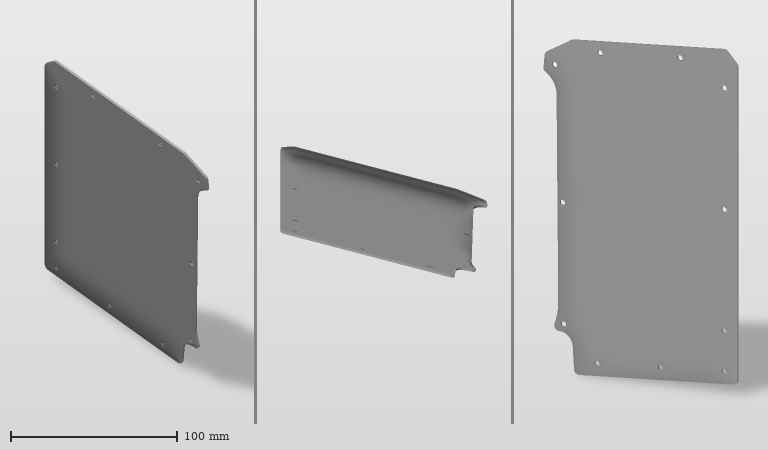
import cadquery as cq
import math

thickness = 1.59
width = 128.11

edge_slope = math.tan(math.radians(3.5))
side_slope = math.tan(math.radians(0.5))

top_edge_z = 216.35
bottom_edge_z = 6.45

corner_radius = 3.175
tab_notch_radius = 9.0
ear_notch_radius = 16.0
flare_radius = 38.0

foot_x = 107.65
tab_bottom_z = 26.05

tab_tip_x = 122.2
flare_x = 118.2
flare_z = 37.9

ear_notch_z = 181.8
ear_bottom_z = 188.85
ear_top_x = 127.15
ear_top_z = 199.7
shoulder_x = 109.4

cut_x = 8.0
cut_z = 206.6

hole_diameter = 3.45
side_hole_pitch = 76.2
left_hole_x = 8.89
bottom_hole_z = 13.65
bottom_hole_pitch = 41.9
bottom_hole_count = 3
left_hole_rise = 25.4
left_hole_z = bottom_hole_z + left_hole_rise
left_hole_count = 3
right_hole_x = 114.9
right_hole_z = 30.6
right_hole_count = 2
top_holes = [(38.1, 207.0), (90.8, 203.65), (120.7, 192.65)]


def top_edge(x):
    return top_edge_z - edge_slope * x


def bottom_edge(x):
    return bottom_edge_z - edge_slope * x


def side_edge(z):
    return flare_x + side_slope * (z - flare_z)


def outline_corners():
    """Corners as (x, z, rounding radius), anticlockwise from the lower left."""
    foot_bottom_z = bottom_edge(foot_x)
    foot_top_x = foot_x + edge_slope * (tab_bottom_z - foot_bottom_z)
    return [
        (0, bottom_edge(0), corner_radius),
        (foot_x, foot_bottom_z, corner_radius),
        (foot_top_x, tab_bottom_z, tab_notch_radius),
        (tab_tip_x, tab_bottom_z, corner_radius),
        (flare_x, flare_z, flare_radius),
        (side_edge(ear_notch_z), ear_notch_z, ear_notch_radius),
        (width, ear_bottom_z, 0),
        (ear_top_x, ear_top_z, corner_radius),
        (shoulder_x, top_edge(shoulder_x), 0),
        (cut_x, top_edge(cut_x), corner_radius),
        (0, cut_z, corner_radius),
    ]


def make_plate():
    corners = outline_corners()
    points = [(x, z) for x, z, _ in corners]
    plate = cq.Workplane("XZ").polyline(points).close().extrude(-thickness)
    for x, z, radius in corners:
        if radius > 0:
            nearest = cq.selectors.NearestToPointSelector((x, thickness / 2, z))
            plate = plate.edges("|Y").edges(nearest).fillet(radius)
    return plate


def bottom_holes():
    offsets = [i * bottom_hole_pitch for i in range(bottom_hole_count)]
    return [(left_hole_x + dx, bottom_hole_z - edge_slope * dx) for dx in offsets]


def left_holes():
    return [(left_hole_x, left_hole_z + i * side_hole_pitch) for i in range(left_hole_count)]


def right_holes():
    offsets = [i * side_hole_pitch for i in range(right_hole_count)]
    return [(right_hole_x + side_slope * dz, right_hole_z + dz) for dz in offsets]


def drill(plate, centres):
    drills = cq.Workplane("XZ").pushPoints(centres).circle(hole_diameter / 2).extrude(-thickness)
    return plate.cut(drills)


result = drill(make_plate(), bottom_holes() + left_holes() + right_holes() + top_holes)